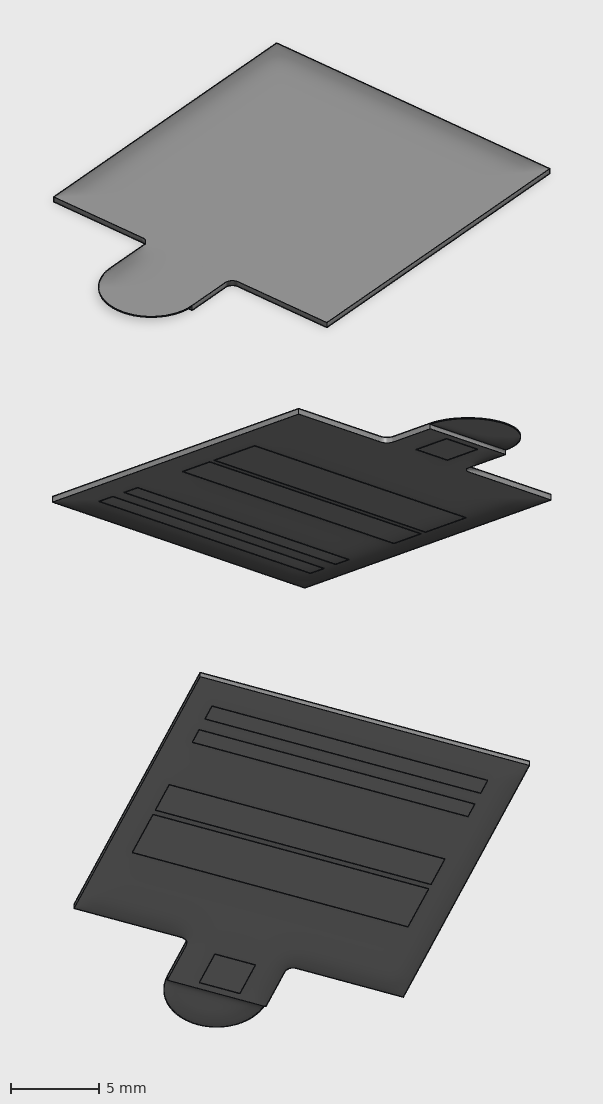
import cadquery as cq

plate_side = 20.0
plate_thickness = 0.35

overall_length = 26.5
tab_width = 6.0
tab_radius = tab_width / 2
tab_root_fillet = 0.5
film_thickness = 0.072

pad_height = 0.03
pad_left = -8.22
pad_right = 8.53
pad_overlap = 0.03
pad_rows = [
    (1.95, 1.1),
    (4.0, 1.09),
    (8.75, 2.2),
    (11.32, 3.29),
]
tab_pad_start = 20.56
tab_pad_side = 2.46

front_edge_y = -plate_side
tab_arc_y = tab_radius - overall_length


def make_plate():
    """Square plate with the straight, full-thickness part of the tab."""
    plate = cq.Workplane("XY").box(
        plate_side, plate_side, plate_thickness, centered=(True, False, False)
    )
    plate = plate.translate((0, -plate_side, -plate_thickness))
    tab_root = cq.Workplane("XY").box(
        tab_width, -tab_arc_y, plate_thickness, centered=(True, False, False)
    )
    tab_root = tab_root.translate((0, tab_arc_y, -plate_thickness))
    root_corners = cq.selectors.BoxSelector(
        (-tab_radius - tab_root_fillet, front_edge_y - tab_root_fillet, -plate_thickness),
        (tab_radius + tab_root_fillet, front_edge_y + tab_root_fillet, 0),
    )
    return plate.union(tab_root).edges("|Z").edges(root_corners).fillet(tab_root_fillet)


def make_film():
    """Half-round thin film that ends the tab, flush with the top face."""
    return (
        cq.Workplane("XY")
        .moveTo(-tab_radius, tab_arc_y)
        .threePointArc((0, -overall_length), (tab_radius, tab_arc_y))
        .close()
        .extrude(-film_thickness)
    )


def make_pad(left, right, start, length):
    """Rectangular pad standing out below the plate."""
    return (
        cq.Workplane("XY")
        .box(right - left, length, pad_height + pad_overlap, centered=False)
        .translate((left, -start - length, -plate_thickness - pad_height))
    )


result = make_plate().union(make_film())

for row_start, row_length in pad_rows:
    result = result.union(make_pad(pad_left, pad_right, row_start, row_length))

result = result.union(make_pad(-tab_pad_side / 2, tab_pad_side / 2, tab_pad_start, tab_pad_side))